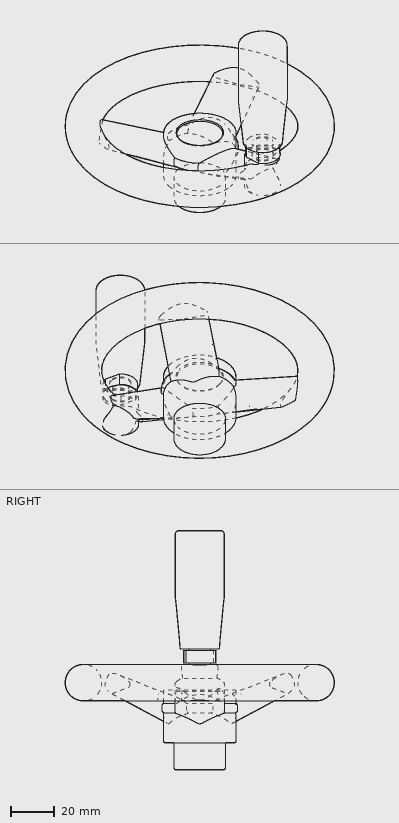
import cadquery as cq

wheel_dia = 125.0
tube_dia = 17.0
rim_center_z = 40.5
rim_path_radius = (wheel_dia - tube_dia) / 2
rim_top_z = rim_center_z + tube_dia / 2

hub_dia = 33.7
hub_bottom_z = 12.5
hub_top_z = 37.0
hub_edge_round = 1.0
hub_top_round = 0.4
boss_dia = 24.0
boss_edge_round = 1.1
recess_dia = 22.0
recess_floor_dia = 21.2
recess_depth = 0.6
recess_cone_rise = 0.2

ring_dia = 35.7
ring_bottom_z = 26.4
ring_top_z = 31.0
ring_edge_round = 1.5

spoke_count = 3
spoke_width = 23.0
spoke_inner_x = 6.2
spoke_outer_x = 47.5
hub_radius = hub_dia / 2
crown_top_z = 35.0
crown_drop = 3.5
top_slope = 0.33
keel_z = 21.0
keel_slope = 0.47
lower_edge_z = 28.0
lower_edge_slope = 0.38
spoke_edge_round = 1.4
keel_round = 2.5

handle_x = 48.0
handle_boss_round = 0.5
handle_top_z = 111.0
grip_dia = 22.7
grip_taper_top_z = 79.8
grip_bottom_dia = 18.2
grip_bottom_z = 56.0
grip_top_round = 1.5
grip_bottom_round = 0.7
neck_dia = 10.0
collar_dia = 16.0
collar_top_z = 55.5
collar_bottom_z = 49.5
flat_distance = 14.0
flat_turn = 8.8


def disc(dia, bottom_z, top_z):
    return cq.Workplane("XY", origin=(0, 0, bottom_z)).circle(dia / 2).extrude(top_z - bottom_z)


def make_rim():
    return (
        cq.Workplane("XZ", origin=(0, 0, rim_center_z))
        .center(rim_path_radius, 0)
        .circle(tube_dia / 2)
        .revolve(360, (-rim_path_radius, 0), (-rim_path_radius, 1))
    )


def make_hub():
    body = disc(hub_dia, hub_bottom_z, hub_top_z)
    body = body.faces("<Z").edges().fillet(hub_edge_round)
    body = body.faces(">Z").edges().fillet(hub_top_round)
    boss = disc(boss_dia, 0, hub_bottom_z).faces("<Z").edges().fillet(boss_edge_round)
    ring = disc(ring_dia, ring_bottom_z, ring_top_z).edges().fillet(ring_edge_round)
    return body.union(boss).union(ring)


def make_recess():
    """Shallow recess in the hub top with a sloped wall and a floor that rises to the middle."""
    floor_z = hub_top_z - recess_depth
    return (
        cq.Workplane("XZ")
        .moveTo(0, hub_top_z)
        .lineTo(recess_dia / 2, hub_top_z)
        .lineTo(recess_floor_dia / 2, floor_z)
        .lineTo(0, floor_z + recess_cone_rise)
        .close()
        .revolve(360, (0, 0), (0, 1))
    )


def spoke_section(x):
    """Cross-section at distance x from the wheel axis: crowned top, upright sides, V-shaped underside."""
    run = x - hub_radius
    half = spoke_width / 2
    top = crown_top_z + top_slope * run
    lower_edge = lower_edge_z + lower_edge_slope * run
    keel = keel_z + keel_slope * run
    return (
        cq.Workplane("YZ", origin=(x, 0, 0))
        .moveTo(-half, top - crown_drop)
        .threePointArc((0, top), (half, top - crown_drop))
        .lineTo(half, lower_edge)
        .lineTo(0, keel)
        .lineTo(-half, lower_edge)
        .close()
        .val()
    )


def long_edges(spoke, y):
    """Edges that run the length of the spoke at side position y, picked by their middle points."""
    middle_x = (spoke_inner_x + spoke_outer_x) / 2
    reach_x = (spoke_outer_x - spoke_inner_x) / 4
    reach_y = spoke_width / 20
    low = (middle_x - reach_x, y - reach_y, 0)
    high = (middle_x + reach_x, y + reach_y, rim_top_z)
    return spoke.edges(cq.selectors.BoxSelector(low, high))


def make_spoke():
    """One spoke along +X, sunk into the hub at one end and into the rim at the other."""
    sections = [spoke_section(spoke_inner_x), spoke_section(spoke_outer_x)]
    spoke = cq.Workplane(cq.Solid.makeLoft(sections, True))
    for y in (-spoke_width / 2, spoke_width / 2):
        spoke = long_edges(spoke, y).fillet(spoke_edge_round)
    return long_edges(spoke, 0).fillet(keel_round)


def make_handle_boss():
    """Round boss as wide and as tall as the rim tube."""
    boss = disc(tube_dia, rim_center_z - tube_dia / 2, rim_top_z).edges().fillet(handle_boss_round)
    return boss.translate((handle_x, 0, 0))


def make_wheel():
    wheel = make_hub()
    spoke = make_spoke()
    for i in range(spoke_count):
        wheel = wheel.union(spoke.rotate((0, 0, 0), (0, 0, 1), i * 360 / spoke_count))
    wheel = wheel.union(make_handle_boss()).union(make_rim())
    return wheel.cut(make_recess())


def make_collar():
    """Round collar with two wrench flats, turned a little about the handle axis."""
    collar = disc(collar_dia, collar_bottom_z, collar_top_z)
    flats = (
        cq.Workplane("XY", origin=(0, 0, collar_bottom_z))
        .rect(2 * collar_dia, flat_distance)
        .extrude(collar_top_z - collar_bottom_z)
        .rotate((0, 0, 0), (0, 0, 1), flat_turn)
    )
    return collar.intersect(flats)


def make_grip():
    grip = (
        cq.Workplane("XZ")
        .moveTo(0, grip_bottom_z)
        .lineTo(grip_bottom_dia / 2, grip_bottom_z)
        .lineTo(grip_dia / 2, grip_taper_top_z)
        .lineTo(grip_dia / 2, handle_top_z)
        .lineTo(0, handle_top_z)
        .close()
        .revolve(360, (0, 0), (0, 1))
    )
    return grip.faces(">Z").edges().fillet(grip_top_round).faces("<Z").edges().fillet(grip_bottom_round)


def make_handle():
    """Grip and collar on a thin neck that stands on the boss and shows above and below the collar."""
    neck = disc(neck_dia, rim_top_z, grip_bottom_z)
    handle = make_collar().union(neck).union(make_grip())
    return handle.translate((handle_x, 0, 0))


wheel = make_wheel()
handle = make_handle()

result = cq.Compound.makeCompound([wheel.val(), handle.val()])